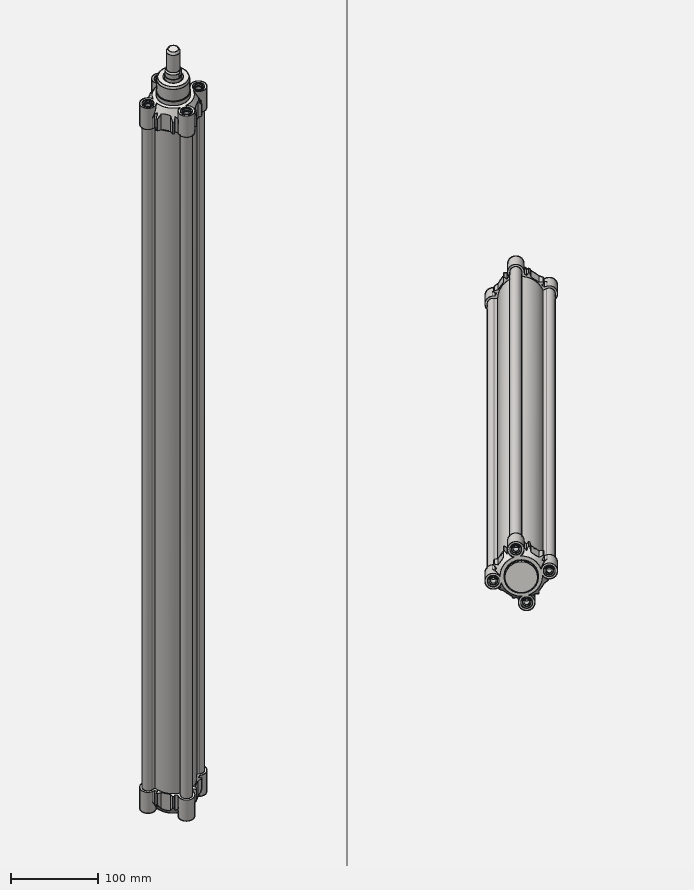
import cadquery as cq
import math

total_height = 1129.0
rod_stickout = 69.0
cover_height = 32.0
spigot_height = 4.0

upper_cover_top = total_height - rod_stickout
upper_cover_bottom = upper_cover_top - cover_height
lower_cover_top = spigot_height + cover_height
barrel_length = upper_cover_bottom - lower_cover_top

cover_width = 65.0
screw_pitch = 46.0
corner_distance = screw_pitch / math.sqrt(2)
cover_column_radius = (cover_width - screw_pitch) / 2
barrel_column_radius = 7.0
barrel_radius = 27.0
cover_web_flare = 5.0
barrel_web_flare = 17.0
web_length = 9.0

core_width = 54.0
rib_face_width = 62.0
groove_floor_width = 56.0
groove_half_width = 6.0
rib_inner_edge = 9.0
rib_outer_edge = 10.7
cone_end_diameter = 49.0
cone_end_radius = cone_end_diameter / 2
cone_half_angle = 30.0
screw_hole_steps = [(14.0, 1.0), (9.9, 3.0), (6.7, 17.0)]

boss_height = 27.0
collar_diameter = 40.0
collar_radius = collar_diameter / 2
collar_height = 6.4
collar_step = 0.7
neck_radius = collar_radius - collar_step
boss_edge_width = 1.0
boss_edge_height = 3.0
spigot_chamfer = 1.0

rod_radius = 10.0
shank_radius = 9.7
thread_radius = 8.0
thread_length = 29.0
shoulder_height = 2.0
tip_radius = 6.1
tip_chamfer_height = 3.5
flat_distance = 8.6
flat_end = 38.0
bore_chamfer = 1.7


def revolved(outline):
    """Solid of revolution about Z from (radius, height) points."""
    return cq.Workplane("XZ").polyline(outline).close().revolve(360, (0, 0, 0), (0, 1, 0))


def at_sides(shape, start_angle):
    """Four copies of a shape around Z, joined together."""
    copies = shape.rotate((0, 0, 0), (0, 0, 1), start_angle)
    for turn in (90, 180, 270):
        copies = copies.union(shape.rotate((0, 0, 0), (0, 0, 1), start_angle + turn))
    return copies


def make_corner_cylinders(radius, height):
    """Cylinders standing on Z = 0 at the four corners."""
    corners = cq.Workplane().rect(screw_pitch, screw_pitch, forConstruction=True).vertices()
    return corners.circle(radius).extrude(height)


def make_webs(radius, flare_degrees, height):
    """Webs whose flanks leave the corner columns tangentially and narrow towards the axis."""
    flare = math.radians(flare_degrees)
    tangent_x = corner_distance - radius * math.sin(flare)
    tangent_y = radius * math.cos(flare)
    root_x = tangent_x - web_length * math.cos(flare)
    root_y = tangent_y - web_length * math.sin(flare)
    outline = [(tangent_x, tangent_y), (root_x, root_y), (root_x, -root_y), (tangent_x, -tangent_y)]
    return at_sides(cq.Workplane().polyline(outline).close().extrude(height), 45)


def make_barrel():
    """Round barrel with a column along each corner."""
    barrel = cq.Workplane().circle(barrel_radius).extrude(barrel_length)
    barrel = barrel.union(make_webs(barrel_column_radius, barrel_web_flare, barrel_length))
    return barrel.union(make_corner_cylinders(barrel_column_radius, barrel_length))


def make_cover_core():
    """Square core with a pair of ribs on each side, its outer end turned to a cone."""
    rib_outline = [
        (0, 0),
        (0, groove_floor_width / 2),
        (groove_half_width, groove_floor_width / 2),
        (rib_inner_edge, rib_face_width / 2),
        (rib_outer_edge, rib_face_width / 2),
        (rib_outer_edge, 0),
    ]
    half_side = cq.Workplane().polyline(rib_outline).close().extrude(cover_height)
    side = half_side.union(half_side.mirror("YZ"))
    core = cq.Workplane().rect(core_width, core_width).extrude(cover_height)
    core = core.union(at_sides(side, 0))
    core = core.union(make_webs(cover_column_radius, cover_web_flare, cover_height))
    cone_base_radius = cone_end_radius + cover_height * math.tan(math.radians(cone_half_angle))
    cone = revolved([(0, 0), (cone_base_radius, 0), (cone_end_radius, cover_height), (0, cover_height)])
    return core.intersect(cone)


def make_cover():
    """Cover standing on Z = 0 with its outer end up."""
    cover = make_cover_core().union(make_corner_cylinders(cover_column_radius, cover_height))
    for diameter, depth in screw_hole_steps:
        holes = make_corner_cylinders(diameter / 2, depth)
        cover = cover.cut(holes.translate((0, 0, cover_height - depth)))
    return cover


def make_boss():
    """Stepped boss of the upper cover, standing on Z = 0."""
    return revolved(
        [
            (0, 0),
            (collar_radius, 0),
            (collar_radius, collar_height - collar_step),
            (neck_radius, collar_height),
            (neck_radius, boss_height - boss_edge_height),
            (neck_radius - boss_edge_width, boss_height),
            (0, boss_height),
        ]
    )


def make_rod_bore():
    """Blind bore for the rod, through the boss and the upper cover, chamfered at its mouth."""
    depth = cover_height + boss_height
    return revolved(
        [
            (0, 0),
            (rod_radius, 0),
            (rod_radius, depth - bore_chamfer),
            (rod_radius + bore_chamfer, depth),
            (0, depth),
        ]
    )


def make_cylinder():
    """Barrel, both covers, boss and spigot as one body."""
    spigot = cq.Workplane().circle(collar_radius).extrude(spigot_height)
    spigot = spigot.faces("<Z").chamfer(spigot_chamfer)
    cover = make_cover()
    body = make_barrel().translate((0, 0, lower_cover_top))
    body = body.union(cover.translate((0, 0, upper_cover_bottom)))
    body = body.union(cover.mirror("XY").translate((0, 0, lower_cover_top)))
    body = body.union(make_boss().translate((0, 0, upper_cover_top)))
    body = body.union(spigot)
    return body.cut(make_rod_bore().translate((0, 0, upper_cover_bottom)))


def make_piston_rod():
    """Rod with a threaded end and two wrench flats facing -X and +X."""
    shoulder = total_height - thread_length
    flat_bottom = total_height - flat_end
    rod = revolved(
        [
            (0, upper_cover_bottom),
            (rod_radius, upper_cover_bottom),
            (rod_radius, flat_bottom),
            (shank_radius, flat_bottom),
            (shank_radius, shoulder - shoulder_height),
            (thread_radius, shoulder),
            (thread_radius, total_height - tip_chamfer_height),
            (tip_radius, total_height),
            (0, total_height),
        ]
    )
    flat_slab = cq.Workplane(origin=(0, 0, flat_bottom))
    flat_slab = flat_slab.rect(2 * flat_distance, 2 * rod_radius).extrude(flat_end)
    lower_rod = cq.Workplane(origin=(0, 0, upper_cover_bottom)).circle(rod_radius)
    lower_rod = lower_rod.extrude(flat_bottom - upper_cover_bottom)
    return rod.intersect(flat_slab.union(lower_rod))


cylinder = make_cylinder()
piston_rod = make_piston_rod()
result = cq.Compound.makeCompound([cylinder.solids().val(), piston_rod.solids().val()])